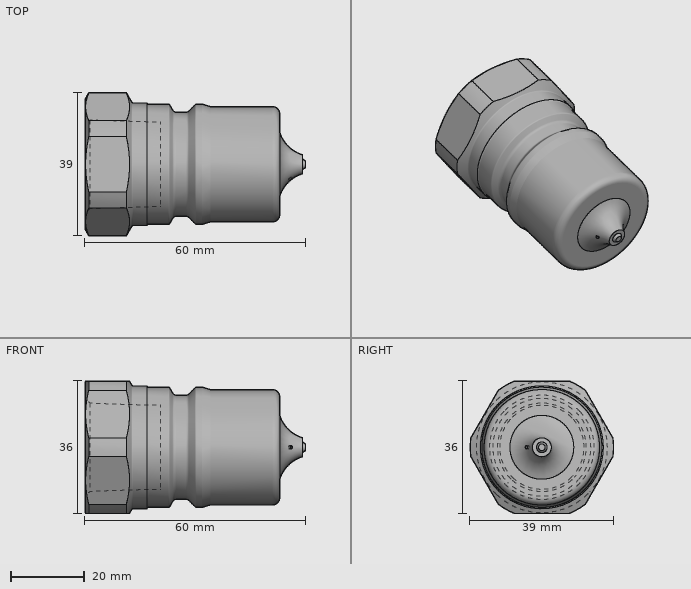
import cadquery as cq
import math

total_length = 59.95

hex_across_flats = 36.0
hex_corner_diameter = 39.0
hex_corner_radius = hex_corner_diameter / 2
hex_face_radius = 17.8
hex_rear_corner_x = 11.2
bevel_slope = math.tan(math.radians(60))

collar_radius = 16.7
collar_end_x = 16.8
land_radius = 16.35
groove_radius = 14.2
groove_start_x = 22.9
groove_floor_end_x = 27.95
taper_start_x = 31.9
barrel_radius = 15.7
barrel_start_x = 34.1
barrel_end_x = 52.95
small_fillet = 0.5
groove_fillet = 1.0
barrel_end_fillet = 2.0

nose_base_radius = 8.7
nose_end_radius = 2.6
nose_end_x = 59.2
flare_radius = 9.3
tip_base_radius = 1.45
tip_end_radius = 0.9

vent_x = 56.0
vent_diameter = 0.9
vent_depth = 0.6

bore_mouth_radius = 13.3
bore_start_radius = 12.05
bore_end_radius = 11.45
bore_slope = 1 / 32


def arc_centre(start, end, radius):
    """Centre of the arc through two points that bows toward the axis."""
    chord_x = end[0] - start[0]
    chord_r = end[1] - start[1]
    chord = math.hypot(chord_x, chord_r)
    offset = math.sqrt(radius**2 - (chord / 2) ** 2)
    return (
        (start[0] + end[0]) / 2 - offset * chord_r / chord,
        (start[1] + end[1]) / 2 + offset * chord_x / chord,
    )


def point_on_circle(centre, radius, x):
    """Lower point of a circle at the given X."""
    return (x, centre[1] - math.sqrt(radius**2 - (x - centre[0]) ** 2))


def rounded_corner(before, corner, after, radius):
    """Start, middle and end of the arc that rounds a corner."""
    tip = cq.Vector(*corner)
    to_before = (cq.Vector(*before) - tip).normalized()
    to_after = (cq.Vector(*after) - tip).normalized()
    half_angle = to_before.getAngle(to_after) / 2
    setback = radius / math.tan(half_angle)
    to_middle = radius / math.sin(half_angle) - radius
    bisector = (to_before + to_after).normalized()
    points = (tip + to_before * setback, tip + bisector * to_middle, tip + to_after * setback)
    return [point.toTuple()[:2] for point in points]


def trace_corners(profile, corners):
    """Continue the profile from the first corner through the others, rounding those with a fillet."""
    for index in range(1, len(corners)):
        corner, fillet = corners[index]
        if fillet:
            before = corners[index - 1][0]
            after = corners[index + 1][0]
            start, middle, end = rounded_corner(before, corner, after, fillet)
            profile = profile.lineTo(*start).threePointArc(middle, end)
        else:
            profile = profile.lineTo(*corner)
    return profile


def revolve_about_x(profile):
    return profile.close().revolve(360, (0, 0, 0), (1, 0, 0))


def make_body(flare_centre):
    step_fillet_end_x = collar_end_x + math.sqrt(
        small_fillet**2 - (small_fillet - collar_radius + land_radius) ** 2
    )
    step_centre = (step_fillet_end_x, land_radius + small_fillet)
    step_middle = point_on_circle(step_centre, small_fillet, (collar_end_x + step_fillet_end_x) / 2)

    front_bevel = (hex_corner_radius - hex_face_radius) / bevel_slope
    bevel_foot_x = hex_rear_corner_x + (hex_corner_radius - collar_radius) / bevel_slope
    groove_depth = land_radius - groove_radius

    rear_corners = [
        ((0, 0), 0),
        ((0, hex_face_radius), 0),
        ((front_bevel, hex_corner_radius), 0),
        ((hex_rear_corner_x, hex_corner_radius), 0),
        ((bevel_foot_x, collar_radius), small_fillet),
        ((collar_end_x, collar_radius), 0),
    ]
    front_corners = [
        ((step_fillet_end_x, land_radius), 0),
        ((groove_start_x, land_radius), small_fillet),
        ((groove_start_x + groove_depth / bevel_slope, groove_radius), groove_fillet),
        ((groove_floor_end_x, groove_radius), groove_fillet),
        ((groove_floor_end_x + groove_depth, land_radius), small_fillet),
        ((taper_start_x, land_radius), 0),
        ((barrel_start_x, barrel_radius), 0),
        ((barrel_end_x, barrel_radius), barrel_end_fillet),
        ((barrel_end_x, nose_base_radius), 0),
    ]

    flare_middle = point_on_circle(flare_centre, flare_radius, (barrel_end_x + nose_end_x) / 2)

    profile = trace_corners(cq.Workplane("XY").moveTo(0, 0), rear_corners)
    profile = profile.threePointArc(step_middle, front_corners[0][0])
    profile = trace_corners(profile, front_corners)
    profile = (
        profile.threePointArc(flare_middle, (nose_end_x, nose_end_radius))
        .lineTo(nose_end_x, tip_base_radius)
        .lineTo(total_length, tip_end_radius)
        .lineTo(total_length, 0)
    )
    return revolve_about_x(profile)


def make_hexagon_envelope():
    """Hexagonal bar with flats facing +Z and -Z; it trims only the hexagon end."""
    across_corners = hex_across_flats / math.cos(math.radians(30))
    return cq.Workplane("YZ").polygon(6, across_corners).extrude(total_length)


def make_bore():
    countersink_depth = bore_mouth_radius - bore_start_radius
    bore_depth = countersink_depth + (bore_start_radius - bore_end_radius) / bore_slope
    profile = (
        cq.Workplane("XY")
        .lineTo(0, bore_mouth_radius)
        .lineTo(countersink_depth, bore_start_radius)
        .lineTo(bore_depth, bore_end_radius)
        .lineTo(bore_depth, 0)
    )
    return revolve_about_x(profile)


def make_vent(flare_centre):
    """Blind hole on the -Y side, starting clear of the flare surface."""
    mouth = point_on_circle(flare_centre, flare_radius, vent_x)
    mouth_point = cq.Vector(mouth[0], -mouth[1], 0)
    mirrored_centre = cq.Vector(flare_centre[0], -flare_centre[1], 0)
    inward = (mouth_point - mirrored_centre).normalized()
    start = mouth_point - inward * vent_depth
    return cq.Workplane(cq.Solid.makeCylinder(vent_diameter / 2, 2 * vent_depth, start, inward))


flare_centre = arc_centre((barrel_end_x, nose_base_radius), (nose_end_x, nose_end_radius), flare_radius)
result = (
    make_body(flare_centre)
    .intersect(make_hexagon_envelope())
    .cut(make_bore())
    .cut(make_vent(flare_centre))
)